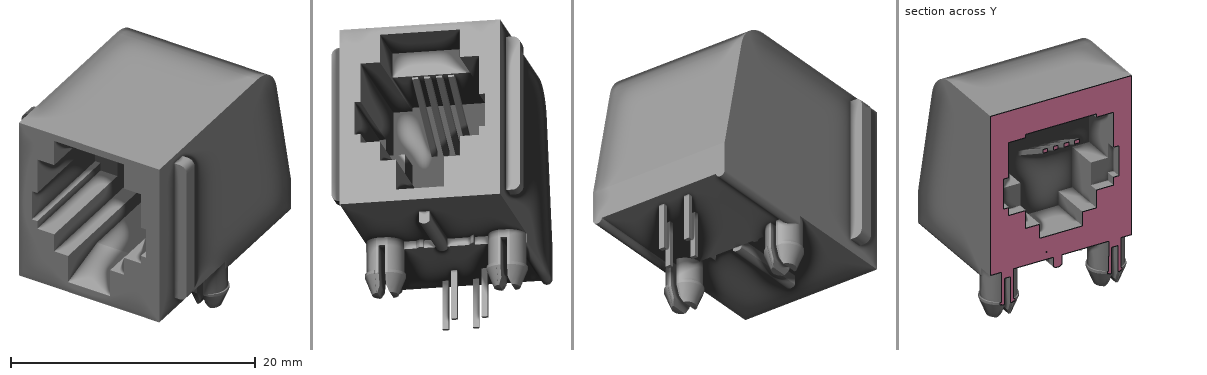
import cadquery as cq
import math


WIDTH = 13.4
HEIGHT = 15.0
OVERALL_HEIGHT = 19.81
DEPTH = 20.83
REAR_WALL_HEIGHT = 2.05
REAR_TOP_Y = 18.0
REAR_RADIUS = 3.1

SKIRT_FRONT_Y = 10.54
SKIRT_DROP = 0.66
RAIL_WIDTH = 0.9
RAIL_BOTTOM = -1.04

KEY_X = -0.32
KEY_WIDTH = 0.87
KEY_FRONT_Y = 3.2
KEY_EDGE_Z = -0.86

STOP_SPAN = 15.75
STOP_Y = 2.38
STOP_THICKNESS = 1.27
STOP_BOTTOM = 1.09
STOP_TOP = 14.27
STOP_RADIUS = 0.65

CATCH_HALF = 2.01
THROAT_HALF = 3.33
PLUG_HALF = 4.94
SIDE_GROOVE_HALF = 5.45
LATCH_FRONT_Z = 0.96
LATCH_FLOOR_Z = 2.2
LATCH_RAMP_LENGTH = 4.6
THROAT_FLOOR_Z = 3.52
SHELF_Z = 5.19
SIDE_GROOVE_BOTTOM = 5.93
SIDE_GROOVE_TOP = 8.7
REAR_LEDGE_Z = 7.31
PLUG_TOP_Z = 11.99
COMB_Z = 12.3
OPENING_TOP_Z = 14.36
CAVITY_DEPTH = 13.0
SHELF_DEPTH = 10.0
COMB_Y = 5.0

CONTACT_COUNT = 4
CONTACT_PITCH = 1.0
CONTACT_WIDTH = 0.5
CONTACT_THICKNESS = 0.4
CONTACT_END_Z = 7.97
CONTACT_EMBED = 0.3

PIN_PITCH = 1.27
PIN_WIDTH = 0.5
PIN_THICKNESS = 0.38
PIN_ROWS_Y = (19.4, 16.86)
PIN_TIP_Z = HEIGHT - OVERALL_HEIGHT

POST_X = 5.08
POST_Y = SKIRT_FRONT_Y
POST_RADIUS = 1.49
POST_FLAT_HALF = 0.4
POST_SPREAD = 0.07
BARB_SPREAD = 0.2
BARB_TOP = -2.77
BARB_BOTTOM = -3.01
POST_TIP = -4.52
TIP_INSET = 0.6
POST_SLOT = 0.54
SLOT_MOUTH = 1.02
SLOT_MOUTH_HEIGHT = 0.55

LEFT_NIB_X = (-2.52, -2.2, -1.87)
LEFT_NIB_REACH = (0.27, 0.2)
RIGHT_NIB_X = (1.74, 2.06, 2.39)
RIGHT_NIB_REACH = (0.3, 0.64)
RIGHT_NIB_BEND = (1.96, -0.09)


def box(x0, x1, y0, y1, z0, z1):
    """Axis-aligned block between two corners."""
    return cq.Workplane("XY").box(x1 - x0, y1 - y0, z1 - z0, centered=False).translate((x0, y0, z0))


def housing():
    """Body with a sloped, rounded back and the skirt below its rear half."""
    slope = math.atan2(DEPTH - REAR_TOP_Y, HEIGHT - REAR_WALL_HEIGHT)
    tangent = REAR_RADIUS * math.tan((math.pi / 2 - slope) / 2)
    centre_y = REAR_TOP_Y - tangent
    centre_z = HEIGHT - REAR_RADIUS
    mid_angle = (math.pi / 2 + slope) / 2
    arc_mid = (
        centre_y + REAR_RADIUS * math.cos(mid_angle),
        centre_z + REAR_RADIUS * math.sin(mid_angle),
    )
    arc_end = (
        centre_y + REAR_RADIUS * math.cos(slope),
        centre_z + REAR_RADIUS * math.sin(slope),
    )
    return (
        cq.Workplane("YZ")
        .moveTo(0, 0)
        .lineTo(0, HEIGHT)
        .lineTo(centre_y, HEIGHT)
        .threePointArc(arc_mid, arc_end)
        .lineTo(DEPTH, REAR_WALL_HEIGHT)
        .lineTo(DEPTH, -SKIRT_DROP)
        .lineTo(SKIRT_FRONT_Y, -SKIRT_DROP)
        .lineTo(SKIRT_FRONT_Y, 0)
        .close()
        .extrude(WIDTH / 2, both=True)
    )


def rounded_rail(centre_x, width, edge_z, y0, y1):
    """Rail hanging from the housing, with an arched underside."""
    return (
        cq.Workplane("XZ", origin=(centre_x, y0, 0))
        .moveTo(-width / 2, 0)
        .lineTo(-width / 2, edge_z)
        .threePointArc((0, RAIL_BOTTOM), (width / 2, edge_z))
        .lineTo(width / 2, 0)
        .close()
        .extrude(y0 - y1)
    )


def panel_stops():
    """Plate across the housing whose rounded edges stand out on both sides."""
    return (
        box(-STOP_SPAN / 2, STOP_SPAN / 2, STOP_Y, STOP_Y + STOP_THICKNESS, STOP_BOTTOM, STOP_TOP)
        .edges("|Y")
        .fillet(STOP_RADIUS)
    )


def channel(half_width, depth, z0, z1):
    """Centred rectangular channel cut in from the front face."""
    return box(-half_width, half_width, 0, depth, z0, z1)


def plug_opening():
    """Stepped plug cavity with a ramped latch channel at the bottom."""
    latch = (
        cq.Workplane("YZ")
        .moveTo(0, LATCH_FRONT_Z)
        .lineTo(LATCH_RAMP_LENGTH, LATCH_FLOOR_Z)
        .lineTo(CAVITY_DEPTH, LATCH_FLOOR_Z)
        .lineTo(CAVITY_DEPTH, PLUG_TOP_Z)
        .lineTo(0, PLUG_TOP_Z)
        .close()
        .extrude(CATCH_HALF, both=True)
    )
    return (
        latch
        .union(channel(THROAT_HALF, CAVITY_DEPTH, THROAT_FLOOR_Z, COMB_Z))
        .union(channel(THROAT_HALF, COMB_Y, THROAT_FLOOR_Z, OPENING_TOP_Z))
        .union(channel(PLUG_HALF, CAVITY_DEPTH, REAR_LEDGE_Z, PLUG_TOP_Z))
        .union(channel(PLUG_HALF, SHELF_DEPTH, SHELF_Z, PLUG_TOP_Z))
        .union(channel(SIDE_GROOVE_HALF, SHELF_DEPTH, SIDE_GROOVE_BOTTOM, SIDE_GROOVE_TOP))
    )


def contact(x):
    """Wire slanting from the contact block down to the back of the cavity."""
    slope = (COMB_Z - CONTACT_END_Z) / (CAVITY_DEPTH - COMB_Y)
    start_y = COMB_Y + CONTACT_EMBED
    end_y = CAVITY_DEPTH + CONTACT_EMBED
    start_z = COMB_Z - slope * CONTACT_EMBED
    end_z = CONTACT_END_Z - slope * CONTACT_EMBED
    return (
        cq.Workplane("YZ", origin=(x, 0, 0))
        .moveTo(start_y, start_z)
        .lineTo(end_y, end_z)
        .lineTo(end_y, end_z + CONTACT_THICKNESS)
        .lineTo(start_y, start_z + CONTACT_THICKNESS)
        .close()
        .extrude(CONTACT_WIDTH / 2, both=True)
    )


def pin(x, y):
    """Straight solder pin below the skirt."""
    return box(
        x - PIN_WIDTH / 2, x + PIN_WIDTH / 2,
        y - PIN_THICKNESS / 2, y + PIN_THICKNESS / 2,
        PIN_TIP_Z, 0,
    )


def post_section(spread, z):
    """Two round halves moved apart by the spread and joined by flats."""
    flat_x = POST_FLAT_HALF + spread
    flat_y = math.sqrt(POST_RADIUS**2 - POST_FLAT_HALF**2)
    reach = POST_RADIUS + spread
    return (
        cq.Workplane("XY", origin=(0, 0, z))
        .moveTo(-flat_x, -flat_y)
        .lineTo(flat_x, -flat_y)
        .threePointArc((reach, 0), (flat_x, flat_y))
        .lineTo(-flat_x, flat_y)
        .threePointArc((-reach, 0), (-flat_x, -flat_y))
        .close()
    )


def post_layer(spread, top_z):
    """Straight length of post down to the barb's lower edge, continued by its tapered tip."""
    taper = math.degrees(math.atan2(TIP_INSET, BARB_BOTTOM - POST_TIP))
    straight = post_section(spread, BARB_BOTTOM).extrude(top_z - BARB_BOTTOM)
    tip = post_section(spread, BARB_BOTTOM).extrude(POST_TIP - BARB_BOTTOM, taper=taper)
    return straight.union(tip)


def snap_post(x):
    """Split post whose halves each carry a barb on their outer side."""
    shank = post_layer(POST_SPREAD, 0)
    barb_inner = POST_FLAT_HALF + BARB_SPREAD
    between_barbs = box(-barb_inner, barb_inner, -POST_RADIUS, POST_RADIUS, POST_TIP, BARB_TOP)
    barbs = post_layer(BARB_SPREAD, BARB_TOP).cut(between_barbs)
    slot = (
        cq.Workplane("XZ")
        .moveTo(-POST_SLOT / 2, -SKIRT_DROP)
        .lineTo(-POST_SLOT / 2, POST_TIP + SLOT_MOUTH_HEIGHT)
        .lineTo(-SLOT_MOUTH / 2, POST_TIP)
        .lineTo(SLOT_MOUTH / 2, POST_TIP)
        .lineTo(POST_SLOT / 2, POST_TIP + SLOT_MOUTH_HEIGHT)
        .lineTo(POST_SLOT / 2, -SKIRT_DROP)
        .close()
        .extrude(2 * POST_RADIUS, both=True)
    )
    return shank.union(barbs).cut(slot).translate((x, POST_Y, 0))


def skirt_nibs():
    """Two small hooked nibs standing forward of the skirt."""
    skirt = cq.Workplane("XY", origin=(0, SKIRT_FRONT_Y, 0))
    left = (
        skirt
        .moveTo(LEFT_NIB_X[0], 0)
        .lineTo(LEFT_NIB_X[1], -LEFT_NIB_REACH[0])
        .lineTo(LEFT_NIB_X[2], -LEFT_NIB_REACH[1])
        .lineTo(LEFT_NIB_X[2], 0)
        .close()
        .extrude(-SKIRT_DROP)
    )
    right = (
        skirt
        .moveTo(RIGHT_NIB_X[0], 0)
        .threePointArc(RIGHT_NIB_BEND, (RIGHT_NIB_X[1], -RIGHT_NIB_REACH[0]))
        .lineTo(RIGHT_NIB_X[2], -RIGHT_NIB_REACH[1])
        .lineTo(RIGHT_NIB_X[2], 0)
        .close()
        .extrude(-SKIRT_DROP)
    )
    return left.union(right)


def build_jack():
    jack = housing().union(panel_stops()).cut(plug_opening())
    jack = jack.union(rounded_rail(KEY_X, KEY_WIDTH, KEY_EDGE_Z, KEY_FRONT_Y, SKIRT_FRONT_Y))
    jack = jack.union(skirt_nibs())
    for side in (-1, 1):
        rail_x = side * (WIDTH - RAIL_WIDTH) / 2
        jack = jack.union(rounded_rail(rail_x, RAIL_WIDTH, -SKIRT_DROP, SKIRT_FRONT_Y, DEPTH))
        jack = jack.union(snap_post(side * POST_X))
    for index in range(CONTACT_COUNT):
        offset = index - (CONTACT_COUNT - 1) / 2
        jack = jack.union(contact(offset * CONTACT_PITCH))
        jack = jack.union(pin(offset * PIN_PITCH, PIN_ROWS_Y[index % len(PIN_ROWS_Y)]))
    return jack


result = build_jack()